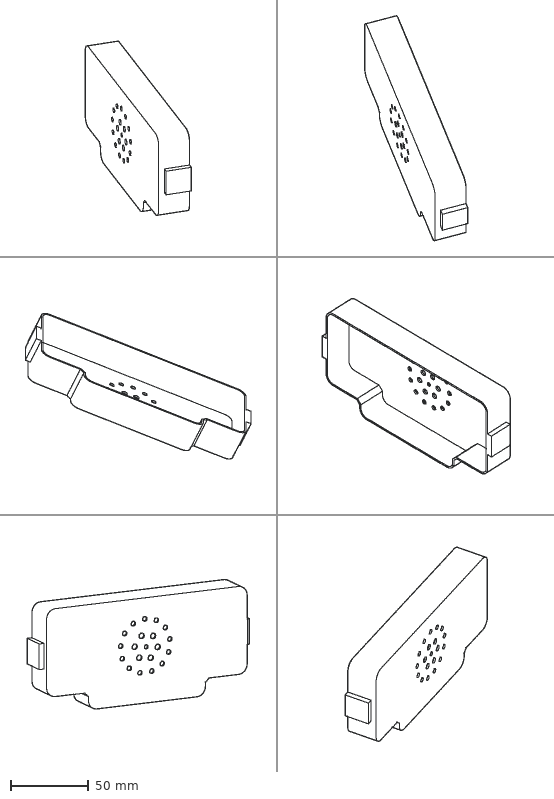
import cadquery as cq
import math

overall_width = 152.1
body_width = 145.1
body_height = 58.5
overall_height = 70.1
depth = 21.1
step_width = 84.7
corner_radius = 6.4
neck_chamfer = 2.6

wall = 1.2

tab_depth = 17.3
tab_height = 17.0
tab_top_drop = 23.3

outer_hole_count = 13
outer_hole_diameter = 3.0
outer_ring_radius = 18.0
outer_ring_angle = 8.2
outer_ring_centre = (-1.0, 3.0)

inner_hole_count = 6
inner_hole_diameter = 3.7
inner_ring_radius = 8.4
inner_ring_angle = 53.3
inner_ring_centre = (-0.5, 2.3)
centre_hole_diameter = 2.6

front_y = -depth / 2
back_y = depth / 2
top_z = overall_height / 2
bottom_z = -overall_height / 2
shoulder_z = top_z - body_height


def housing_block(inset, start_y):
    """Solid with the housing outline, moved in by inset, from start_y to the back."""
    body_x = body_width / 2 - inset
    step_x = step_width / 2 - inset
    top = top_z - inset
    shoulder = shoulder_z + inset
    bottom = bottom_z + inset
    radius = corner_radius - inset
    chamfer = neck_chamfer + inset * (2 - math.sqrt(2))
    bend = radius * (1 - math.sqrt(0.5))

    return (
        cq.Workplane("XZ", origin=(0, start_y, 0))
        .moveTo(0, top)
        .lineTo(body_x - radius, top)
        .threePointArc((body_x - bend, top - bend), (body_x, top - radius))
        .lineTo(body_x, shoulder + radius)
        .threePointArc((body_x - bend, shoulder + bend), (body_x - radius, shoulder))
        .lineTo(step_x + chamfer, shoulder)
        .lineTo(step_x, shoulder - chamfer)
        .lineTo(step_x, bottom + radius)
        .threePointArc((step_x - bend, bottom + bend), (step_x - radius, bottom))
        .lineTo(0, bottom)
        .mirrorY()
        .extrude(start_y - back_y)
    )


def side_tabs():
    """Bar across the housing whose two ends are the side tabs."""
    return cq.Workplane("XY").box(overall_width, tab_depth, tab_height).translate(
        (0, back_y - tab_depth / 2, top_z - tab_top_drop - tab_height / 2)
    )


def ring_points(centre, radius, count, start_angle):
    """Evenly spaced (x, z) points on a circle."""
    angles = [math.radians(start_angle + i * 360 / count) for i in range(count)]
    return [(centre[0] + radius * math.cos(a), centre[1] + radius * math.sin(a)) for a in angles]


def front_holes(points, diameter):
    """Round cutters through the front wall at the given (x, z) points."""
    return (
        cq.Workplane("XZ", origin=(0, front_y, 0))
        .pushPoints(points)
        .circle(diameter / 2)
        .extrude(-wall)
    )


outer_points = ring_points(outer_ring_centre, outer_ring_radius, outer_hole_count, outer_ring_angle)
inner_points = ring_points(inner_ring_centre, inner_ring_radius, inner_hole_count, inner_ring_angle)

result = (
    housing_block(0, front_y)
    .union(side_tabs())
    .cut(housing_block(wall, front_y + wall))
    .cut(front_holes(outer_points, outer_hole_diameter))
    .cut(front_holes(inner_points, inner_hole_diameter))
    .cut(front_holes([inner_ring_centre], centre_hole_diameter))
)